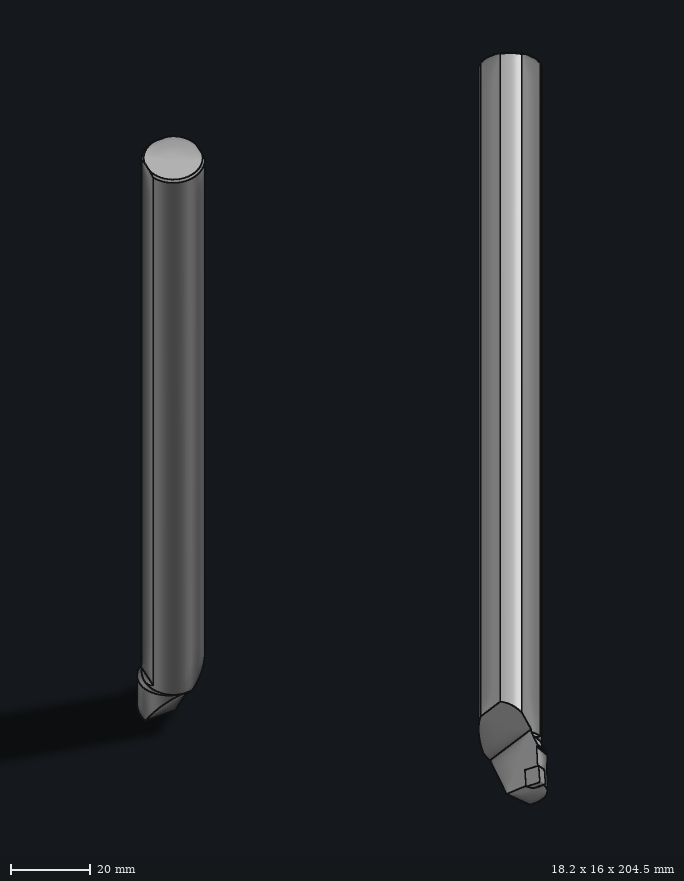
import cadquery as cq
import math


total_length = 204.45
shank_radius = 8.0
flat_offset = 7.25
flat_bottom = 15.2
flat_runout_angle = 27.0
collar_bottom = 13.6
end_chamfer = 0.6

head_radius = 8.77
head_center_x = -0.75
head_bottom = 0.6
neck_half_angle = 27.5

back_slope_bottom_x = 1.4
back_slope_angle = 26.8

flute_runout_z = 13.9
flute_climb_angle = 45.0
flute_tilt = 15.0

tip_x = -10.24
lead_angle = 5.0
corner_angle = 80.0
inscribed_circle = 4.76
insert_thickness = 2.38
insert_relief = 7.0
nose_radius = 0.4

clearance_inset = 0.45
clearance_relief = 15.5
clearance_lean = 3.5
clearance_top = 10.4

cut_reach = 40.0


def tan_deg(angle):
    return math.tan(math.radians(angle))


def make_flat_cutter():
    """Block that cuts the -X flat and runs out to the round bar in a slope."""
    outside = -2 * shank_radius
    runout_bottom = flat_bottom - (-flat_offset - outside) / tan_deg(flat_runout_angle)
    return (
        cq.Workplane("XZ")
        .polyline([
            (-flat_offset, total_length),
            (-flat_offset, flat_bottom),
            (outside, runout_bottom),
            (outside, total_length),
        ])
        .close()
        .extrude(cut_reach, both=True)
    )


def make_shank():
    shank = (
        cq.Workplane("XY", origin=(0, 0, collar_bottom))
        .circle(shank_radius)
        .extrude(total_length - collar_bottom)
        .faces(">Z")
        .chamfer(end_chamfer)
    )
    for turn in (-90, 0, 90):
        shank = shank.cut(make_flat_cutter().rotate((0, 0, 0), (0, 0, 1), turn))
    return shank


def make_head():
    """Head cylinder, trimmed at the top by a neck cone that starts at the shank radius."""
    height = collar_bottom - head_bottom
    cylinder = (
        cq.Workplane("XY", origin=(head_center_x, 0, head_bottom))
        .circle(head_radius)
        .extrude(height)
    )
    neck_cone = (
        cq.Workplane("XZ")
        .polyline([
            (0, head_bottom),
            (shank_radius + height * tan_deg(neck_half_angle), head_bottom),
            (shank_radius, collar_bottom),
            (0, collar_bottom),
        ])
        .close()
        .revolve(360, (0, 0, 0), (0, 1, 0))
    )
    return cylinder.intersect(neck_cone)


def make_back_slope_cutter():
    slope_top_x = back_slope_bottom_x + cut_reach * tan_deg(back_slope_angle)
    return (
        cq.Workplane("XZ", origin=(0, 0, head_bottom))
        .polyline([
            (back_slope_bottom_x, 0),
            (slope_top_x, cut_reach),
            (slope_top_x, 0),
        ])
        .close()
        .extrude(cut_reach, both=True)
    )


def make_flute_cutter():
    climb = cut_reach * tan_deg(flute_climb_angle)
    block = (
        cq.Workplane("YZ", origin=(0, 0, flute_runout_z))
        .polyline([(0, -cut_reach), (0, 0), (cut_reach, climb), (cut_reach, -cut_reach)])
        .close()
        .extrude(cut_reach, both=True)
    )
    return block.rotate((0, 0, flute_runout_z), (0, 1, flute_runout_z), flute_tilt)


def make_clearance_cutter():
    cutter = (
        cq.Workplane("XY")
        .box(cut_reach, cut_reach, cut_reach)
        .translate((-cut_reach / 2, 0, 0))
        .rotate((0, 0, 0), (0, 0, 1), clearance_relief)
        .rotate((0, 0, 0), (0, 1, 0), clearance_lean)
        .translate((tip_x + clearance_inset, 0, 0))
    )
    below_neck = cq.Workplane("XY").box(2 * cut_reach, 2 * cut_reach, 2 * clearance_top)
    return cutter.intersect(below_neck)


def make_insert():
    edge = inscribed_circle / math.sin(math.radians(corner_angle))
    along = edge * math.cos(math.radians(lead_angle))
    across = edge * math.sin(math.radians(lead_angle))
    nose_reach = nose_radius / math.sin(math.radians(corner_angle / 2))
    nose_shift = nose_reach * math.cos(math.radians(45)) - nose_radius
    blank = (
        cq.Workplane("XZ", origin=(tip_x - nose_shift, 0, -nose_shift))
        .polyline([(0, 0), (across, along), (across + along, across + along), (along, across)])
        .close()
        .extrude(insert_thickness, taper=insert_relief)
    )
    nose_edge = cq.selectors.NearestToPointSelector((tip_x, -insert_thickness / 2, 0))
    return blank.edges(nose_edge).fillet(nose_radius)


insert = make_insert()

head = make_head().cut(make_back_slope_cutter()).cut(make_clearance_cutter())
bar = make_shank().union(head).cut(make_flute_cutter()).cut(insert)

result = cq.Compound.makeCompound([bar.val(), insert.val()])